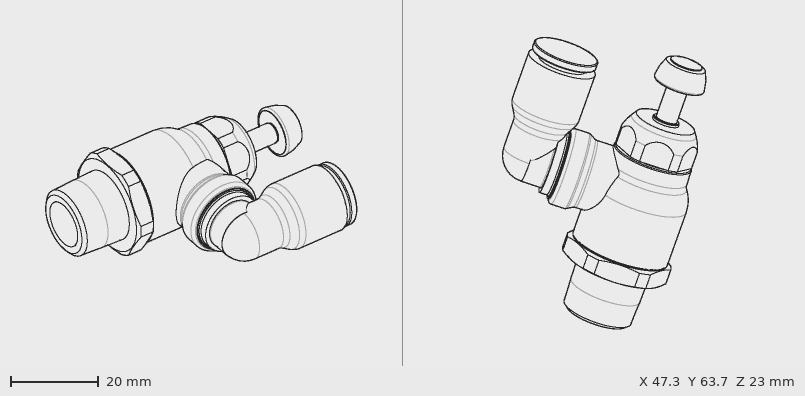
import cadquery as cq
import math


thread_tip_radius = 7.15
thread_lead_in = 0.8
thread_start_radius = 8.1
thread_middle_y = 6.45
thread_middle_radius = 8.35
thread_root_radius = 8.55
bore_radius = 5.5

hex_bottom_y = 12.2
hex_top_y = 16.7
hex_across_flats = 23.0
hex_corner_radius = 12.5
hex_face_radius = 11.35
hex_chamfer_height = 0.5

body_groove_radius = 11.0
body_bottom_y = 16.95
body_radius = 11.4
shoulder_start_y = 30.25
shoulder_end_y = 35.05
shoulder_end_radius = 9.8
sleeve_start_y = 36.55
sleeve_start_radius = 9.4
sleeve_top_y = 40.2
sleeve_top_radius = 9.3
sleeve_chamfer = 0.25
nut_gap_radius = 7.8

nut_bottom_y = 40.6
nut_across_flats = 17.0
nut_corner_radius = 9.2
nut_crown_y = 44.6
crown_middle_y = 46.3
crown_middle_radius = 8.55
crown_end_y = 47.7
crown_end_radius = 7.8
nut_top_y = 48.85
nut_top_radius = 7.0

stem_collar_radius = 3.1
stem_collar_top_y = 49.55
stem_collar_chamfer = 0.2
stem_radius = 2.5
stem_top_y = 57.95
stem_neck_radius = 2.35
knob_bottom_y = 58.15
knob_top_y = 63.7
knob_recess_radius = 5.35
knob_recess_depth = 0.1
knob_face_radius = 5.5
knob_radius = 6.0
knob_rim_height = 0.5
knob_middle_y = 61.0
knob_middle_radius = 5.6
knob_shoulder_y = 63.2
knob_shoulder_radius = 4.7
knob_cap_radius = 3.75
knob_cap_height = 0.25

branch_y = 31.3
branch_radius = 8.0
flare_start_x = 13.05
flare_cone_start_x = 13.6
flare_cone_start_radius = 8.15
flare_cone_end_x = 15.0
flare_cone_end_radius = 8.9
flare_end_x = 15.35
branch_rim_radius = 9.05
rim_fillet = 0.75
rim_end_x = 19.35
seal_groove_radius = 7.8
seal_groove_end_x = 19.55
seal_lip_radius = 8.0
seal_lip_end_x = 19.8
collar_chamfer_radius = 7.6
collar_radius = 7.3
collar_start_x = 20.2
collar_end_x = 22.0
elbow_fillet_radius = 6.25
elbow_fillet_end_x = 22.3

elbow_x = 26.75
elbow_radius = 6.1
elbow_inlet_radius = 6.2
socket_flare_start_y = 37.95
socket_cone_start_y = 39.5
socket_cone_start_radius = 6.5
socket_cone_end_y = 41.4
socket_cone_end_radius = 7.6
socket_start_y = 42.9
socket_radius = 8.0
socket_top_y = 54.4
release_neck_radius = 5.6
release_ring_radius = 7.65
release_ring_bottom_y = 55.7
release_ring_top_y = 57.5
release_ring_chamfer = 0.25


def turn(profile):
    """Revolve a closed (radius, Y) profile about the Y axis."""
    return profile.close().revolve(360, (0, 0, 0), (0, 1, 0))


def hex_bar(across_flats, bottom_y, top_y):
    """Hexagonal bar along Y with two of its flats facing +Z and -Z."""
    across_corners = across_flats / math.cos(math.radians(30))
    bar = cq.Workplane("XZ").polygon(6, across_corners).extrude(bottom_y - top_y)
    return bar.translate((0, bottom_y, 0))


def make_thread_end():
    return turn(
        cq.Workplane("XY")
        .moveTo(0, 0)
        .lineTo(thread_tip_radius, 0)
        .lineTo(thread_start_radius, thread_lead_in)
        .lineTo(thread_middle_radius, thread_middle_y)
        .lineTo(thread_root_radius, hex_bottom_y)
        .lineTo(0, hex_bottom_y)
    )


def make_wrench_hex():
    bar = hex_bar(hex_across_flats, hex_bottom_y, hex_top_y)
    envelope = turn(
        cq.Workplane("XY")
        .moveTo(0, hex_bottom_y)
        .lineTo(hex_face_radius, hex_bottom_y)
        .lineTo(hex_corner_radius, hex_bottom_y + hex_chamfer_height)
        .lineTo(hex_corner_radius, hex_top_y - hex_chamfer_height)
        .lineTo(hex_face_radius, hex_top_y)
        .lineTo(0, hex_top_y)
    )
    return bar.intersect(envelope)


def make_body():
    return turn(
        cq.Workplane("XY")
        .moveTo(0, hex_top_y)
        .lineTo(body_groove_radius, hex_top_y)
        .lineTo(body_groove_radius, body_bottom_y)
        .lineTo(body_radius, body_bottom_y)
        .lineTo(body_radius, shoulder_start_y)
        .tangentArcPoint((shoulder_end_radius, shoulder_end_y), relative=False)
        .tangentArcPoint((sleeve_start_radius, sleeve_start_y), relative=False)
        .lineTo(sleeve_top_radius, sleeve_top_y - sleeve_chamfer)
        .lineTo(sleeve_top_radius - sleeve_chamfer, sleeve_top_y)
        .lineTo(nut_gap_radius, sleeve_top_y)
        .lineTo(nut_gap_radius, nut_bottom_y)
        .lineTo(0, nut_bottom_y)
    )


def make_nut():
    bar = hex_bar(nut_across_flats, nut_bottom_y, nut_top_y)
    envelope = turn(
        cq.Workplane("XY")
        .moveTo(0, nut_bottom_y)
        .lineTo(nut_corner_radius, nut_bottom_y)
        .lineTo(nut_corner_radius, nut_crown_y)
        .threePointArc((crown_middle_radius, crown_middle_y), (crown_end_radius, crown_end_y))
        .tangentArcPoint((nut_top_radius, nut_top_y), relative=False)
        .lineTo(0, nut_top_y)
    )
    return bar.intersect(envelope)


def make_stem_and_knob():
    return turn(
        cq.Workplane("XY")
        .moveTo(0, nut_top_y)
        .lineTo(stem_collar_radius, nut_top_y)
        .lineTo(stem_collar_radius, stem_collar_top_y - stem_collar_chamfer)
        .lineTo(stem_collar_radius - stem_collar_chamfer, stem_collar_top_y)
        .lineTo(stem_radius, stem_collar_top_y)
        .lineTo(stem_radius, stem_top_y)
        .lineTo(stem_neck_radius, stem_top_y)
        .lineTo(stem_neck_radius, knob_bottom_y + knob_recess_depth)
        .lineTo(knob_recess_radius, knob_bottom_y + knob_recess_depth)
        .lineTo(knob_recess_radius, knob_bottom_y)
        .lineTo(knob_face_radius, knob_bottom_y)
        .tangentArcPoint((knob_radius, knob_bottom_y + knob_rim_height), relative=False)
        .threePointArc((knob_middle_radius, knob_middle_y), (knob_shoulder_radius, knob_shoulder_y))
        .lineTo(knob_cap_radius, knob_top_y - knob_cap_height)
        .lineTo(knob_cap_radius, knob_top_y)
        .lineTo(0, knob_top_y)
    )


def make_branch():
    """Side outlet with its swivel rim, ending at the elbow centre."""
    profile = (
        cq.Workplane("XY")
        .moveTo(0, 0)
        .lineTo(0, branch_radius)
        .lineTo(flare_start_x, branch_radius)
        .tangentArcPoint((flare_cone_start_x, flare_cone_start_radius), relative=False)
        .lineTo(flare_cone_end_x, flare_cone_end_radius)
        .tangentArcPoint((flare_end_x, branch_rim_radius), relative=False)
        .lineTo(rim_end_x - rim_fillet, branch_rim_radius)
        .radiusArc((rim_end_x, branch_rim_radius - rim_fillet), rim_fillet)
        .lineTo(rim_end_x, seal_groove_radius)
        .lineTo(seal_groove_end_x, seal_groove_radius)
        .lineTo(seal_groove_end_x, seal_lip_radius)
        .lineTo(seal_lip_end_x, seal_lip_radius)
        .lineTo(seal_lip_end_x, collar_chamfer_radius)
        .lineTo(collar_start_x, collar_radius)
        .lineTo(collar_end_x, collar_radius)
        .lineTo(collar_end_x, elbow_fillet_radius)
        .lineTo(elbow_fillet_end_x, elbow_inlet_radius)
        .lineTo(elbow_x, elbow_inlet_radius)
        .lineTo(elbow_x, 0)
        .close()
    )
    return profile.revolve(360, (0, 0, 0), (1, 0, 0)).translate((0, branch_y, 0))


def make_socket():
    """Spherical elbow, tube socket and release ring in one turned piece."""
    socket = turn(
        cq.Workplane("XY")
        .moveTo(0, branch_y - elbow_radius)
        .radiusArc((elbow_radius, branch_y), -elbow_radius)
        .lineTo(elbow_radius, socket_flare_start_y)
        .tangentArcPoint((socket_cone_start_radius, socket_cone_start_y), relative=False)
        .lineTo(socket_cone_end_radius, socket_cone_end_y)
        .tangentArcPoint((socket_radius, socket_start_y), relative=False)
        .lineTo(socket_radius, socket_top_y)
        .lineTo(release_neck_radius, socket_top_y)
        .lineTo(release_neck_radius, release_ring_bottom_y)
        .lineTo(release_ring_radius - release_ring_chamfer, release_ring_bottom_y)
        .lineTo(release_ring_radius, release_ring_bottom_y + release_ring_chamfer)
        .lineTo(release_ring_radius, release_ring_top_y - release_ring_chamfer)
        .lineTo(release_ring_radius - release_ring_chamfer, release_ring_top_y)
        .lineTo(0, release_ring_top_y)
    )
    return socket.translate((elbow_x, 0, 0))


def make_bore():
    """Blind inlet bore through the thread and the wrench hexagon."""
    return cq.Workplane("XZ").circle(bore_radius).extrude(-hex_top_y)


result = (
    make_thread_end()
    .union(make_wrench_hex())
    .union(make_body())
    .union(make_nut())
    .union(make_stem_and_knob())
    .union(make_branch())
    .union(make_socket())
    .cut(make_bore())
)